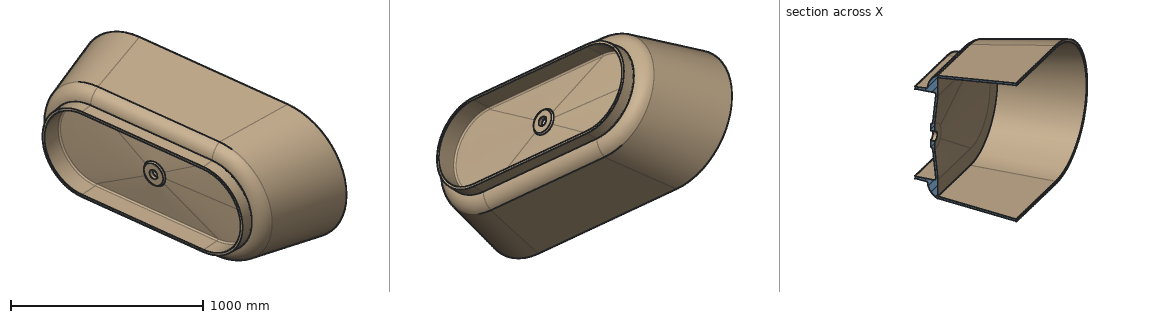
import cadquery as cq
import math


LENGTH = 1800.0
WIDTH = 800.0
HEIGHT = 580.0

RIM_RADIUS = WIDTH / 2
RIM_HALF_STRAIGHT = LENGTH / 2 - RIM_RADIUS

BASE_HALF_STRAIGHT = 410.0
BODY_RADIUS = 356.0
FOOT_HEIGHT = 70.0
EDGE_HEIGHT = 60.0
EDGE_ROUND = 100.0
WALL_BOTTOM = FOOT_HEIGHT + EDGE_HEIGHT

FOOT_TOP_RADIUS = 271.0
FOOT_BOTTOM_RADIUS = 266.0
FOOT_WALL = 15.0
RECESS_RADIUS = FOOT_BOTTOM_RADIUS - FOOT_WALL
RECESS_DEPTH = 118.0
RECESS_FILLET = 9.0
FLOOR_RADIUS = RECESS_RADIUS - RECESS_FILLET

WALL = 15.0
FLOOR_FALL = 18.0

DRAIN_RADIUS = 27.0
DRAIN_BOSS_RADIUS = 73.0
DRAIN_BOSS_END_RADIUS = 65.0
DRAIN_BOSS_HEIGHT = 10.0
DRAIN_BOSS_TOP = RECESS_DEPTH - FLOOR_FALL


def section(half_straight, radius, y):
    """Stadium outline at height y."""
    return (
        cq.Workplane("XZ", origin=(0, y, 0))
        .moveTo(-half_straight, radius)
        .lineTo(half_straight, radius)
        .threePointArc((half_straight + radius, 0), (half_straight, -radius))
        .lineTo(-half_straight, -radius)
        .threePointArc((-half_straight - radius, 0), (-half_straight, radius))
        .close()
        .val()
    )


def circle(radius, y):
    """Circular outline around the drain axis at height y."""
    return cq.Workplane("XZ", origin=(0, y, 0)).circle(radius).val()


def loft(lower, upper):
    """Ruled solid between two outlines."""
    return cq.Workplane(cq.Solid.makeLoft([lower, upper], True))


def stadium_solid(draw_profile):
    """Sweep a (radius, height) profile round the base stadium and fill its middle."""
    end = draw_profile(cq.Workplane("XY")).revolve(360, (0, 0, 0), (0, 1, 0))
    half = draw_profile(cq.Workplane("ZY")).extrude(BASE_HALF_STRAIGHT, both=True)
    solid = half.union(half.mirror("XY"))
    for x in (-BASE_HALF_STRAIGHT, BASE_HALF_STRAIGHT):
        solid = solid.union(end.translate((x, 0, 0)))
    return solid


def edge_profile(plane):
    """Rounded lower edge of the body: an arc that ends level with the underside."""
    center_y = FOOT_HEIGHT + EDGE_ROUND
    start_angle = math.asin((center_y - WALL_BOTTOM) / EDGE_ROUND)
    center_r = BODY_RADIUS - EDGE_ROUND * math.cos(start_angle)
    mid_angle = (start_angle + math.pi / 2) / 2
    mid_r = center_r + EDGE_ROUND * math.cos(mid_angle)
    mid_y = center_y - EDGE_ROUND * math.sin(mid_angle)
    return (
        plane.moveTo(0, WALL_BOTTOM)
        .lineTo(BODY_RADIUS, WALL_BOTTOM)
        .threePointArc((mid_r, mid_y), (center_r, FOOT_HEIGHT))
        .lineTo(0, FOOT_HEIGHT)
        .close()
    )


def foot_profile(plane):
    """Slightly drafted foot."""
    return (
        plane.lineTo(FOOT_BOTTOM_RADIUS, 0)
        .lineTo(FOOT_TOP_RADIUS, FOOT_HEIGHT)
        .lineTo(0, FOOT_HEIGHT)
        .close()
    )


def recess_profile(plane):
    """Recess inside the foot ring, rounded where its wall meets the floor."""
    fillet_center_r = RECESS_RADIUS - RECESS_FILLET
    fillet_center_y = RECESS_DEPTH - RECESS_FILLET
    fillet_mid = RECESS_FILLET * math.cos(math.pi / 4)
    return (
        plane.lineTo(RECESS_RADIUS, 0)
        .lineTo(RECESS_RADIUS, fillet_center_y)
        .threePointArc(
            (fillet_center_r + fillet_mid, fillet_center_y + fillet_mid),
            (fillet_center_r, RECESS_DEPTH),
        )
        .lineTo(0, RECESS_DEPTH)
        .close()
    )


def make_body():
    wall = loft(
        section(BASE_HALF_STRAIGHT, BODY_RADIUS, WALL_BOTTOM),
        section(RIM_HALF_STRAIGHT, RIM_RADIUS, HEIGHT),
    )
    return wall.union(stadium_solid(edge_profile)).union(stadium_solid(foot_profile))


def make_floor_dish(edge_y):
    """Shallow funnel from a stadium edge at height edge_y down to the drain."""
    return loft(
        circle(DRAIN_BOSS_RADIUS, edge_y - FLOOR_FALL),
        section(BASE_HALF_STRAIGHT, FLOOR_RADIUS, edge_y),
    )


def make_basin():
    """Space inside the tub, with a floor that falls to the drain."""
    floor_y = RECESS_DEPTH + WALL
    basin = loft(
        section(BASE_HALF_STRAIGHT, BODY_RADIUS - WALL, floor_y),
        section(RIM_HALF_STRAIGHT, RIM_RADIUS - WALL, HEIGHT),
    )
    return basin.union(make_floor_dish(floor_y))


def make_recess():
    """Space under the tub, bounded above by the sloping underside of the floor."""
    return stadium_solid(recess_profile).cut(make_floor_dish(RECESS_DEPTH))


def make_drain_boss():
    return loft(
        circle(DRAIN_BOSS_END_RADIUS, DRAIN_BOSS_TOP - DRAIN_BOSS_HEIGHT),
        circle(DRAIN_BOSS_RADIUS, DRAIN_BOSS_TOP),
    )


def make_drain_hole():
    return loft(circle(DRAIN_RADIUS, 0), circle(DRAIN_RADIUS, HEIGHT))


result = (
    make_body()
    .cut(make_basin())
    .cut(make_recess())
    .union(make_drain_boss())
    .cut(make_drain_hole())
)